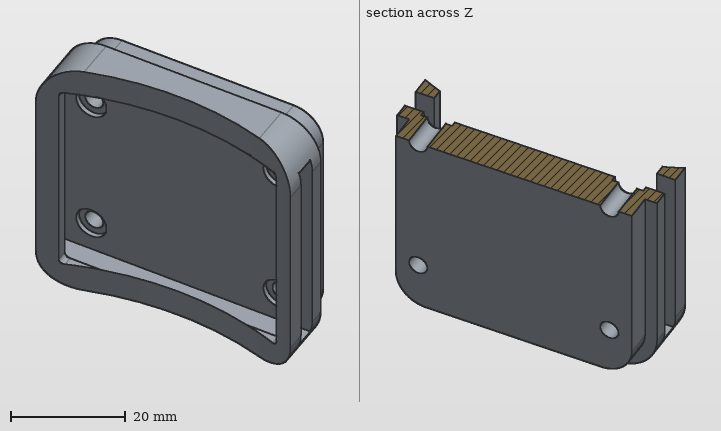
import cadquery as cq

body_size = 51.0
body_depth = 10.7
body_corner_radius = 7.95

plate_size = 46.3
plate_depth = 5.0
plate_corner_radius = 5.95

hollow_radius = 62.0

pocket_width = 43.6
pocket_height = 40.0
pocket_corner_radius = 1.0
pocket_floor_y = -3.0

slot_width = 4.0
slot_back_y = -3.0
slot_height = 40.05

hole_spacing_x = 37.5
hole_spacing_z = 28.0
hole_diameter = 3.55
counterbore_diameter = 6.05
counterbore_depth = 1.0


def rounded_block(width, height, corner_radius, front_y, depth):
    """Block with rounded corners in XZ, running from front_y towards +Y."""
    block = cq.Workplane("XY").box(width, depth, height)
    block = block.edges("|Y").fillet(corner_radius)
    return block.translate((0, front_y + depth / 2, 0))


def hole_cylinders(diameter, front_y, back_y):
    """Cylinders along Y at the four screw positions."""
    return (
        cq.Workplane("XZ", origin=(0, back_y, 0))
        .rarray(hole_spacing_x, hole_spacing_z, 2, 2)
        .circle(diameter / 2)
        .extrude(back_y - front_y)
    )


def front_hollow():
    """Cylinder that meets the front outer edges of the body at X = +/- body_size / 2."""
    axis_offset = (hollow_radius**2 - (body_size / 2) ** 2) ** 0.5
    return (
        cq.Workplane("XY", origin=(0, -body_depth - axis_offset, 0))
        .circle(hollow_radius)
        .extrude(body_size, both=True)
    )


def strap_slot():
    """Straight bar through the full width of the body."""
    slot = cq.Workplane("XY").box(body_size, slot_width, slot_height)
    return slot.translate((0, slot_back_y - slot_width / 2, 0))


body = rounded_block(body_size, body_size, body_corner_radius, -body_depth, body_depth)
plate = rounded_block(plate_size, plate_size, plate_corner_radius, 0, plate_depth)
pocket = rounded_block(
    pocket_width,
    pocket_height,
    pocket_corner_radius,
    -body_depth,
    body_depth + pocket_floor_y,
)
counterbore_back_y = pocket_floor_y + counterbore_depth

result = (
    body.union(plate)
    .cut(front_hollow())
    .cut(pocket)
    .cut(strap_slot())
    .cut(hole_cylinders(hole_diameter, pocket_floor_y, plate_depth))
    .cut(hole_cylinders(counterbore_diameter, pocket_floor_y, counterbore_back_y))
)